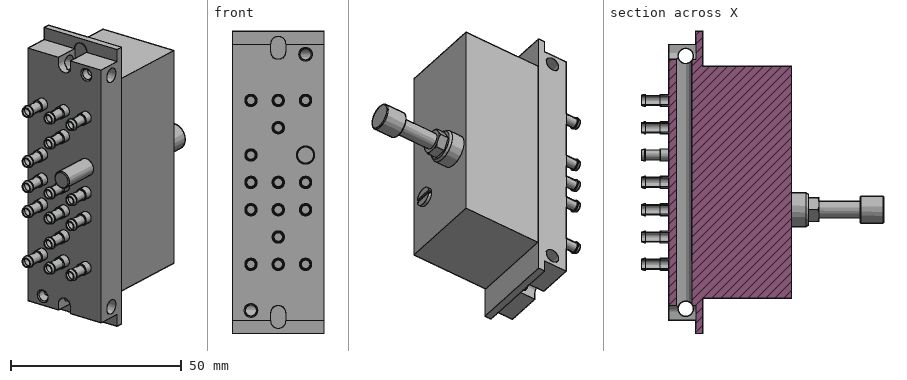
import cadquery as cq


BASE_WIDTH = 26.8
BASE_DEPTH = 10.0
BLOCK_HEIGHT = 80.8
FLANGE_HEIGHT = 88.5
FLANGE_DEPTH = 2.2

HOUSING_WIDTH = 26.0
HOUSING_DEPTH = 26.0
HOUSING_HEIGHT = 68.0
HOUSING_REAR = BASE_DEPTH + HOUSING_DEPTH

CROSS_HOLE_DIAMETER = 4.4
CROSS_HOLE_Y = BASE_DEPTH / 2
CROSS_HOLE_Z = 37.0
SLOT_WIDTH = 4.4
SLOT_HEIGHT = 6.7
SLOT_DEPTH = 8.0
SLOT_Z = 39.4
LONG_HOLE_DIAMETER = 4.4
LONG_HOLE_Y = 4.5
SCREW_HOLE_DIAMETER = 3.24
SCREW_HOLE_MOUTH = 4.0
SCREW_HOLE_Z = 37.5

PORT_PITCH = 8.0
PORT_CELLS = [
    (-1, 3), (0, 3), (1, 3),
    (0, 2),
    (-1, 1),
    (-1, 0), (0, 0), (1, 0),
    (-1, -1), (0, -1), (1, -1),
    (0, -2),
    (-1, -3), (0, -3), (1, -3),
]
PORT_LENGTH = 8.0
PORT_ROOT_DIAMETER = 3.6
PORT_ROOT_LENGTH = 2.4
PORT_ROOT_TAPER = 0.2
PORT_NECK_DIAMETER = 3.0
PORT_BARB_START = 6.8
PORT_BARB_LAND = 0.25
PORT_TIP_DIAMETER = 3.0
PORT_BORE_DIAMETER = 2.5

GUIDE_CELL = (1, 1)
GUIDE_DIAMETER = 5.3
GUIDE_LENGTH = 12.0
GUIDE_CHAMFER = 0.3

PLUNGER_X = -7.0
PLUNGER_Z = -PORT_PITCH
COLLAR_DIAMETER = 10.0
COLLAR_LENGTH = 5.0
COLLAR_CHAMFER_RADIAL = 0.5
COLLAR_CHAMFER_AXIAL = 0.8
NUT_CORNER_DIAMETER = 8.08
NUT_LENGTH = 3.0
NUT_CHAMFER_RADIAL = 0.4
NUT_CHAMFER_AXIAL = 0.3
ROD_DIAMETER = 5.0
ROD_LENGTH = 12.0
KNOB_DIAMETER = 8.0
KNOB_LENGTH = 7.0
KNOB_CHAMFER = 0.3

ADJUSTER_X = 7.0
ADJUSTER_Z = -2 * PORT_PITCH
ADJUSTER_DIAMETER = 5.8
ADJUSTER_HEIGHT = 1.0
ADJUSTER_SLOT_WIDTH = 1.0
ADJUSTER_SLOT_DEPTH = 0.5

ENDS = (1, -1)


def box(width, depth, height, y_start):
    """Box centred on X and Z that runs from y_start towards +Y."""
    return cq.Workplane("XY").box(width, depth, height).translate((0, y_start + depth / 2, 0))


def rod(diameter, length, x, y, z):
    """Cylinder that starts at (x, y, z) and runs towards +Y."""
    return cq.Workplane("XY").add(
        cq.Solid.makeCylinder(diameter / 2, length, cq.Vector(x, y, z), cq.Vector(0, 1, 0))
    )


def make_body():
    block = box(BASE_WIDTH, BASE_DEPTH, BLOCK_HEIGHT, 0)
    flange = box(BASE_WIDTH, FLANGE_DEPTH, FLANGE_HEIGHT, BASE_DEPTH - FLANGE_DEPTH)
    housing = box(HOUSING_WIDTH, HOUSING_DEPTH, HOUSING_HEIGHT, BASE_DEPTH)
    return block.union(flange).union(housing)


def cut_mounting_features(body):
    for end in ENDS:
        cross_hole = (
            cq.Workplane("YZ")
            .center(CROSS_HOLE_Y, end * CROSS_HOLE_Z)
            .circle(CROSS_HOLE_DIAMETER / 2)
            .extrude(BASE_WIDTH, both=True)
        )
        slot = (
            cq.Workplane("XZ")
            .center(0, end * SLOT_Z)
            .slot2D(SLOT_HEIGHT, SLOT_WIDTH, 90)
            .extrude(-SLOT_DEPTH)
        )
        screw_x = end * PORT_PITCH
        screw_z = end * SCREW_HOLE_Z
        screw_hole = rod(SCREW_HOLE_DIAMETER, CROSS_HOLE_Y, screw_x, 0, screw_z)
        mouth = cq.Solid.makeCone(
            SCREW_HOLE_MOUTH / 2,
            SCREW_HOLE_DIAMETER / 2,
            (SCREW_HOLE_MOUTH - SCREW_HOLE_DIAMETER) / 2,
            cq.Vector(screw_x, 0, screw_z),
            cq.Vector(0, 1, 0),
        )
        body = body.cut(cross_hole).cut(slot).cut(screw_hole).cut(cq.Workplane(mouth))

    long_hole = (
        cq.Workplane("XY")
        .center(0, LONG_HOLE_Y)
        .circle(LONG_HOLE_DIAMETER / 2)
        .extrude(BLOCK_HEIGHT, both=True)
    )
    return body.cut(long_hole)


def make_port():
    """Barbed tube on the Y axis, turned from its half section."""
    root_radius = PORT_ROOT_DIAMETER / 2
    neck_radius = PORT_NECK_DIAMETER / 2
    barb_land_end = PORT_BARB_START + PORT_BARB_LAND
    tube = (
        cq.Workplane("XY")
        .moveTo(0, 0)
        .lineTo(root_radius, 0)
        .lineTo(root_radius, -PORT_ROOT_LENGTH)
        .lineTo(neck_radius, -PORT_ROOT_LENGTH - PORT_ROOT_TAPER)
        .lineTo(neck_radius, -PORT_BARB_START)
        .lineTo(root_radius, -PORT_BARB_START)
        .lineTo(root_radius, -barb_land_end)
        .lineTo(PORT_TIP_DIAMETER / 2, -PORT_LENGTH)
        .lineTo(0, -PORT_LENGTH)
        .close()
        .revolve(360, (0, 0, 0), (0, 1, 0))
    )
    return tube.cut(rod(PORT_BORE_DIAMETER, PORT_LENGTH, 0, -PORT_LENGTH, 0))


def add_ports(body):
    port = make_port()
    for column, row in PORT_CELLS:
        body = body.union(port.translate((column * PORT_PITCH, 0, row * PORT_PITCH)))
    return body


def make_guide_pin():
    column, row = GUIDE_CELL
    pin = rod(GUIDE_DIAMETER, GUIDE_LENGTH, column * PORT_PITCH, -GUIDE_LENGTH, row * PORT_PITCH)
    return pin.faces("<Y").chamfer(GUIDE_CHAMFER)


def make_nut(y_start):
    """Hexagon nut whose outer corners are bevelled by a cone."""
    hexagon = (
        cq.Workplane("XZ")
        .polygon(6, NUT_CORNER_DIAMETER)
        .extrude(-NUT_LENGTH)
        .translate((PLUNGER_X, y_start, PLUNGER_Z))
    )
    envelope = (
        rod(NUT_CORNER_DIAMETER, NUT_LENGTH, PLUNGER_X, y_start, PLUNGER_Z)
        .faces(">Y")
        .chamfer(NUT_CHAMFER_AXIAL, NUT_CHAMFER_RADIAL)
    )
    return hexagon.intersect(envelope)


def make_plunger():
    nut_start = HOUSING_REAR + COLLAR_LENGTH
    rod_start = nut_start + NUT_LENGTH
    knob_start = rod_start + ROD_LENGTH
    collar = (
        cq.Workplane("XY")
        .lineTo(COLLAR_DIAMETER / 2, 0)
        .lineTo(COLLAR_DIAMETER / 2, COLLAR_LENGTH - COLLAR_CHAMFER_AXIAL)
        .lineTo(COLLAR_DIAMETER / 2 - COLLAR_CHAMFER_RADIAL, COLLAR_LENGTH)
        .lineTo(0, COLLAR_LENGTH)
        .close()
        .revolve(360, (0, 0, 0), (0, 1, 0))
        .translate((PLUNGER_X, HOUSING_REAR, PLUNGER_Z))
    )
    shaft = rod(ROD_DIAMETER, ROD_LENGTH, PLUNGER_X, rod_start, PLUNGER_Z)
    knob = rod(KNOB_DIAMETER, KNOB_LENGTH, PLUNGER_X, knob_start, PLUNGER_Z)
    knob = knob.faces("<Y or >Y").chamfer(KNOB_CHAMFER)
    return collar.union(make_nut(nut_start)).union(shaft).union(knob)


def make_adjuster():
    disc = rod(ADJUSTER_DIAMETER, ADJUSTER_HEIGHT, ADJUSTER_X, HOUSING_REAR, ADJUSTER_Z)
    slot_floor = HOUSING_REAR + ADJUSTER_HEIGHT - ADJUSTER_SLOT_DEPTH
    slot = box(ADJUSTER_DIAMETER, ADJUSTER_SLOT_DEPTH, ADJUSTER_SLOT_WIDTH, slot_floor)
    return disc.cut(slot.translate((ADJUSTER_X, 0, ADJUSTER_Z)))


body = cut_mounting_features(make_body())
body = add_ports(body)
result = body.union(make_guide_pin()).union(make_plunger()).union(make_adjuster())